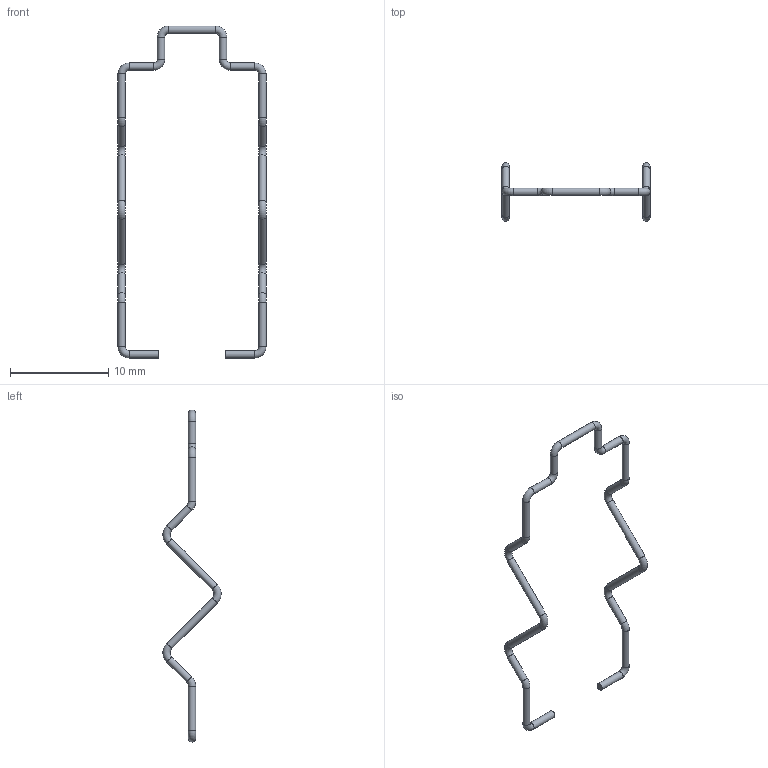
import cadquery as cq
import math

WIRE_DIAMETER = 0.75
CORNER_RADIUS = 0.75
ZIGZAG_RADIUS = 0.975

FRAME_HEIGHT = 33.0
LEG_SPACING = 14.3
LOOP_WIDTH = 6.3
LOOP_HEIGHT = 3.75
FOOT_GAP = 6.8
ZIGZAG_DEPTH = 3.0
ZIGZAG_MIDDLE_Z = 14.7

LEG_X = LEG_SPACING / 2
LOOP_X = LOOP_WIDTH / 2
FOOT_END_X = FOOT_GAP / 2
SHOULDER_Z = FRAME_HEIGHT - LOOP_HEIGHT


def half_path():
    """Return (corner, bend radius) pairs from the left foot end up to the top of the loop."""
    corners = [
        (cq.Vector(-FOOT_END_X, 0, 0), None),
        (cq.Vector(-LEG_X, 0, 0), CORNER_RADIUS),
    ]
    zigzag_steps = [(0, -3), (1, -2), (-1, 0), (1, 2), (0, 3)]
    for y_step, z_step in zigzag_steps:
        y = y_step * ZIGZAG_DEPTH
        z = ZIGZAG_MIDDLE_Z + z_step * ZIGZAG_DEPTH
        corners.append((cq.Vector(-LEG_X, y, z), ZIGZAG_RADIUS))
    corners += [
        (cq.Vector(-LEG_X, 0, SHOULDER_Z), CORNER_RADIUS),
        (cq.Vector(-LOOP_X, 0, SHOULDER_Z), CORNER_RADIUS),
        (cq.Vector(-LOOP_X, 0, FRAME_HEIGHT), CORNER_RADIUS),
    ]
    return corners


def full_path():
    """Join the left half to its mirror image, giving one path from foot to foot."""
    left = half_path()
    right = [(cq.Vector(-p.x, p.y, p.z), radius) for p, radius in reversed(left)]
    return left + right


def bend_points(before, corner, after, radius):
    """Return the start, middle and end of the arc that rounds a corner."""
    to_before = (before - corner).normalized()
    to_after = (after - corner).normalized()
    half_angle = to_before.getAngle(to_after) / 2
    tangent_length = radius / math.tan(half_angle)
    middle_distance = radius / math.sin(half_angle) - radius
    bisector = (to_before + to_after).normalized()
    start = corner + to_before * tangent_length
    middle = corner + bisector * middle_distance
    end = corner + to_after * tangent_length
    return start, middle, end


def centreline(path):
    """Build the wire centreline from straight runs and rounded bends."""
    edges = []
    run_start = path[0][0]
    for (before, _), (corner, radius), (after, _) in zip(path, path[1:], path[2:]):
        start, middle, end = bend_points(before, corner, after, radius)
        edges.append(cq.Edge.makeLine(run_start, start))
        edges.append(cq.Edge.makeThreePointArc(start, middle, end))
        run_start = end
    edges.append(cq.Edge.makeLine(run_start, path[-1][0]))
    return cq.Wire.assembleEdges(edges)


def bent_wire():
    """Sweep the round section along the centreline, starting at the left foot end."""
    foot_end = cq.Workplane("YZ", origin=(-FOOT_END_X, 0, 0))
    return foot_end.circle(WIRE_DIAMETER / 2).sweep(centreline(full_path()))


result = bent_wire()